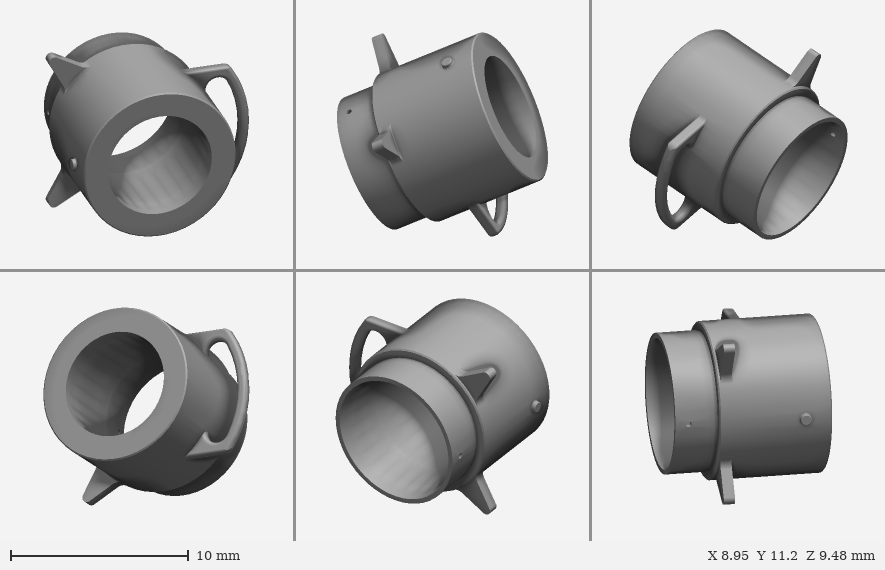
import cadquery as cq
import math


neck_end = 2.28
sleeve_start = 2.46
joint = 3.01
sleeve_end = 8.95

sleeve_radius = 4.5
neck_radius = 4.0
spigot_radius = 3.96
bore_mouth_radius = 3.73
bore_joint_radius = 3.35
bore_end_radius = 3.06
rim_chamfer = 0.08

cross_hole_x = 0.77
cross_hole_radius = 0.17

overall_width = 11.22
tab_span = 9.48
outer_reach = tab_span / 2

stud_x = 7.4
stud_radius = 0.33
stud_round = 0.06

plate_thickness = 0.65
root_radius = 0.6

tab_start = 2.64
tab_tip_radius = 0.3
tab_half_angle = 16.0
tab_angles = (135.0, 225.0)
tab_back_fillet = 0.07

handle_middle = 5.05
handle_half_height = 3.65
handle_reach = overall_width - outer_reach
handle_arc_radius = 6.28
handle_arm_width = 0.62
handle_corner_radius = 0.5
handle_grip_round = 0.26
handle_edge_round = 0.15
slot_end_radius = 0.7
slot_end_height = 2.31
slot_round = 0.25

buried_radius = 4.26


def along_x(profile):
    """Turn a closed (x, radius) profile about the X axis."""
    return profile.close().revolve(360, (0, 0, 0), (1, 0, 0))


def point_from(centre, radius, angle):
    """Point at a radius and an angle in radians from a centre."""
    return (centre[0] + radius * math.cos(angle), centre[1] + radius * math.sin(angle))


def mirrored(point):
    return (point[0], -point[1])


def scaled_to_radius(point, radius):
    """Point moved along its radius from the X axis."""
    factor = radius / math.hypot(*point)
    return (point[0] * factor, point[1] * factor)


def root_arc(normal_angle, distance):
    """Start, middle and end of the fillet from a straight side to the sleeve.

    The side lies at a distance from the X axis, along a normal at normal_angle.
    """
    centre_distance = distance + root_radius
    centre_radius = sleeve_radius + root_radius
    centre_angle = normal_angle - math.acos(centre_distance / centre_radius)
    centre = point_from((0, 0), centre_radius, centre_angle)
    side_angle = normal_angle + math.pi
    sleeve_angle = centre_angle + math.pi
    middle_angle = (side_angle + sleeve_angle) / 2
    return [point_from(centre, root_radius, a) for a in (side_angle, middle_angle, sleeve_angle)]


def make_neck():
    body = along_x(
        cq.Workplane("XY")
        .moveTo(0, bore_mouth_radius)
        .lineTo(0, neck_radius)
        .lineTo(neck_end, neck_radius)
        .lineTo(neck_end, spigot_radius)
        .lineTo(joint, spigot_radius)
        .lineTo(joint, bore_joint_radius)
    )
    hole = (
        cq.Workplane("XZ", origin=(cross_hole_x, 0, 0))
        .circle(cross_hole_radius)
        .extrude(neck_radius)
    )
    return body.cut(hole)


def make_sleeve_blank():
    """Solid sleeve outside, before its bore is cut."""
    blank = cq.Workplane("YZ", origin=(sleeve_start, 0, 0)).circle(sleeve_radius)
    return blank.extrude(sleeve_end - sleeve_start).edges().chamfer(rim_chamfer)


def make_sleeve_bore():
    """Recess for the neck's spigot, then the taper to the far end."""
    return along_x(
        cq.Workplane("XY")
        .moveTo(sleeve_start, 0)
        .lineTo(sleeve_start, spigot_radius)
        .lineTo(joint, spigot_radius)
        .lineTo(joint, bore_joint_radius)
        .lineTo(sleeve_end, bore_end_radius)
        .lineTo(sleeve_end, 0)
    )


def make_tab_plate(thickness):
    """Tapered tab pointing along +Y, from its front face toward +X."""
    half_angle = math.radians(tab_half_angle)
    normal_angle = math.pi / 2 - half_angle
    tip_centre = ((outer_reach - tab_tip_radius) * math.sqrt(2), 0)
    side_distance = tip_centre[0] * math.sin(half_angle) + tab_tip_radius
    side_top = point_from(tip_centre, tab_tip_radius, normal_angle)
    tip = (tip_centre[0] + tab_tip_radius, 0)
    root_start, root_middle, root_end = root_arc(normal_angle, side_distance)
    buried = scaled_to_radius(root_end, buried_radius)
    return (
        cq.Workplane("YZ", origin=(tab_start, 0, 0))
        .moveTo(*buried)
        .lineTo(*root_end)
        .threePointArc(root_middle, root_start)
        .lineTo(*side_top)
        .threePointArc(tip, mirrored(side_top))
        .lineTo(*mirrored(root_start))
        .threePointArc(mirrored(root_middle), mirrored(root_end))
        .lineTo(*mirrored(buried))
        .close()
        .extrude(thickness)
    )


def make_tab():
    """Tab with a small fillet between its back face and the sleeve."""
    tab_back = tab_start + plate_thickness
    fillet_dip = tab_back_fillet * (1 - math.sqrt(0.5))
    fillet_ring = along_x(
        cq.Workplane("XY")
        .moveTo(tab_back, buried_radius)
        .lineTo(tab_back, sleeve_radius + tab_back_fillet)
        .threePointArc(
            (tab_back + fillet_dip, sleeve_radius + fillet_dip),
            (tab_back + tab_back_fillet, sleeve_radius),
        )
        .lineTo(tab_back + tab_back_fillet, buried_radius)
    )
    back_fillet = make_tab_plate(plate_thickness + tab_back_fillet).intersect(fillet_ring)
    return make_tab_plate(plate_thickness).union(back_fillet)


def make_handle_slot(arc_centre, start):
    """Finger slot: an arc outside, round ends, and a straight side inside the sleeve."""
    outer_radius = handle_arc_radius - handle_arm_width
    end_angle = math.asin(slot_end_height / (outer_radius - slot_end_radius))
    end_centre = point_from(arc_centre, outer_radius - slot_end_radius, end_angle)
    outer_end = point_from(arc_centre, outer_radius, end_angle)
    end_middle = point_from(end_centre, slot_end_radius, (end_angle + math.pi) / 2)
    inner_end = (end_centre[0] - slot_end_radius, slot_end_height)
    return (
        cq.Workplane("YZ", origin=(start, 0, 0))
        .moveTo(*mirrored(outer_end))
        .threePointArc((arc_centre[0] + outer_radius, 0), outer_end)
        .threePointArc(end_middle, inner_end)
        .lineTo(*mirrored(inner_end))
        .threePointArc(mirrored(end_middle), mirrored(outer_end))
        .close()
        .extrude(plate_thickness)
    )


def make_handle():
    start = handle_middle - plate_thickness / 2
    arc_centre = (handle_reach - handle_arc_radius, 0)

    corner_height = handle_half_height - handle_corner_radius
    corner_angle = math.asin(corner_height / (handle_arc_radius - handle_corner_radius))
    corner_centre = point_from(arc_centre, handle_arc_radius - handle_corner_radius, corner_angle)
    corner_start = (corner_centre[0], handle_half_height)
    corner_middle = point_from(corner_centre, handle_corner_radius, (corner_angle + math.pi / 2) / 2)
    corner_end = point_from(arc_centre, handle_arc_radius, corner_angle)

    root_start, root_middle, root_end = root_arc(math.pi / 2, handle_half_height)
    buried = scaled_to_radius(root_end, buried_radius)
    plate = (
        cq.Workplane("YZ", origin=(start, 0, 0))
        .moveTo(*buried)
        .lineTo(*root_end)
        .threePointArc(root_middle, root_start)
        .lineTo(*corner_start)
        .threePointArc(corner_middle, corner_end)
        .threePointArc((handle_reach, 0), mirrored(corner_end))
        .threePointArc(mirrored(corner_middle), mirrored(corner_start))
        .lineTo(*mirrored(root_start))
        .threePointArc(mirrored(root_middle), mirrored(root_end))
        .lineTo(*mirrored(buried))
        .close()
        .extrude(plate_thickness)
    )
    plate = plate.faces("<X or >X").edges().fillet(handle_edge_round)

    grip_disc = (
        cq.Workplane("YZ", origin=(start, 0, 0))
        .center(*arc_centre)
        .circle(handle_arc_radius)
        .extrude(plate_thickness)
        .edges()
        .fillet(handle_grip_round)
    )
    handle = plate.intersect(grip_disc)

    handle = handle.cut(make_handle_slot(arc_centre, start))
    rims = [face.innerWires()[0] for face in handle.faces("<X or >X").vals()]
    return handle.newObject(rims).edges().fillet(slot_round)


def make_stud():
    """Round stud along -Y with a rounded top and a small fillet at its base."""
    base_radius = stud_radius + stud_round
    round_dip = stud_round * (1 - math.sqrt(0.5))
    return (
        cq.Workplane("XY", origin=(stud_x, 0, 0))
        .moveTo(0, -buried_radius)
        .lineTo(base_radius, -buried_radius)
        .lineTo(base_radius, -sleeve_radius)
        .threePointArc(
            (stud_radius + round_dip, -sleeve_radius - round_dip),
            (stud_radius, -sleeve_radius - stud_round),
        )
        .lineTo(stud_radius, -outer_reach + stud_round)
        .threePointArc(
            (stud_radius - round_dip, -outer_reach + round_dip),
            (stud_radius - stud_round, -outer_reach),
        )
        .lineTo(0, -outer_reach)
        .close()
        .revolve(360, (0, 0, 0), (0, 1, 0))
    )


def make_sleeve():
    sleeve = make_sleeve_blank().union(make_handle()).union(make_stud())
    tab = make_tab()
    for angle in tab_angles:
        sleeve = sleeve.union(tab.rotate((0, 0, 0), (1, 0, 0), angle))
    return sleeve.cut(make_sleeve_bore())


neck = make_neck()
sleeve = make_sleeve()
result = cq.Compound.makeCompound([*neck.solids().vals(), *sleeve.solids().vals()])